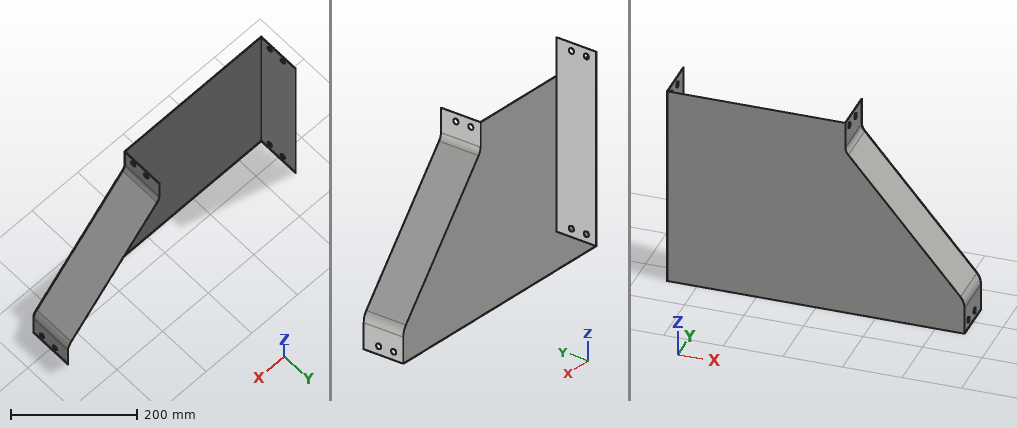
import cadquery as cq

length = 500.0
depth = 80.0
height = 350.0
sheet = 1.0

top_length = 300.0
slope_top = 298.0
slope_bottom = 59.0
upper_bend_radius = 20.0
lower_bend_radius = 30.0

hole_diameter = 10.0
hole_end_offset = 15.0
hole_depths = (20.0, 50.0)
hole_heights = (hole_end_offset, height - hole_end_offset)


def make_outer_body():
    """Solid envelope with rounded bends at both ends of the slope."""
    body = (
        cq.Workplane("XZ")
        .moveTo(0, 0)
        .lineTo(length, 0)
        .lineTo(length, slope_bottom)
        .lineTo(top_length, slope_top)
        .lineTo(top_length, height)
        .lineTo(0, height)
        .close()
        .extrude(-depth)
    )

    def round_bend(solid, x, z, radius):
        bend_edge = cq.selectors.NearestToPointSelector((x, depth / 2, z))
        return solid.edges("|Y").edges(bend_edge).fillet(radius)

    body = round_bend(body, top_length, slope_top, upper_bend_radius)
    return round_bend(body, length, slope_bottom, lower_bend_radius)


def hollow_to_sheet(body):
    """Leave the front panel and side flanges; open the back, top and bottom."""
    return body.faces(">Y or >Z or <Z").shell(-sheet)


def cut_mounting_holes(bracket):
    """Drill along X so that opposite flanges share hole positions."""
    centres = [(y, z) for y in hole_depths for z in hole_heights]
    drills = (
        cq.Workplane("YZ")
        .pushPoints(centres)
        .circle(hole_diameter / 2)
        .extrude(length)
    )
    return bracket.cut(drills)


result = cut_mounting_holes(hollow_to_sheet(make_outer_body()))